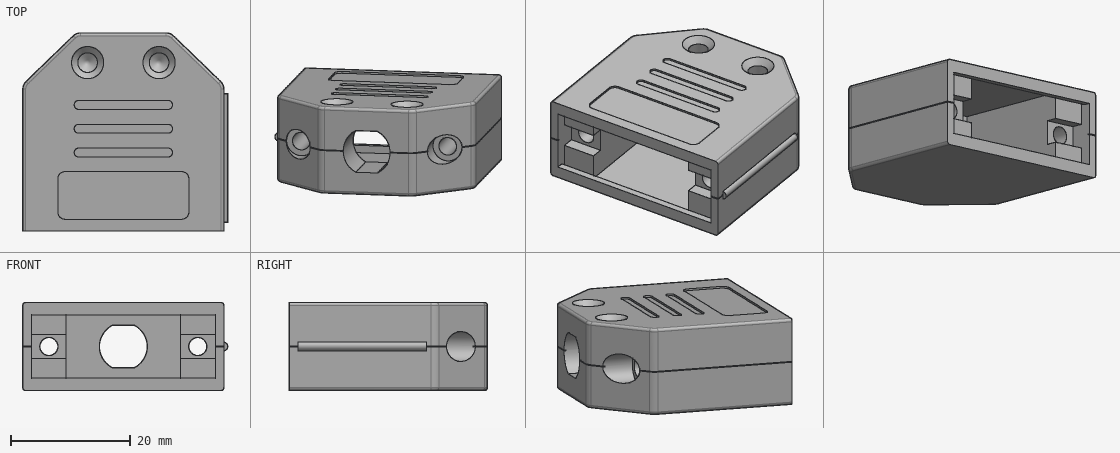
import cadquery as cq
import math


width = 33.8
length = 33.3
height = 14.8
side_wall = 1.45
floor_thickness = 0.85
shoulder_x = 9.0
shoulder_y = 8.7
corner_radius = 1.8
edge_fillet = 0.5

groove_width = 0.1
groove_depth = 0.3

mouth_half_height = 5.3
mouth_depth = 1.2
cavity_depth = 24.0
cavity_width = width - 2 * side_wall
cavity_height = height - 2 * floor_thickness

block_inner_x = 9.6
block_front_y = 2.0
channel_height = 4.1
channel_floor_y = 4.1
fixing_x = 12.5
fixing_diameter = 3.0
head_pocket_diameter = 5.0
head_pocket_floor_y = 26.0

exit_diameter = 8.0
exit_height = 7.1

screw_x = 6.0
screw_y = 28.3
screw_diameter = 3.3
countersink_diameter = 5.4
countersink_angle = 90.0
drill_tip_angle = 118.0
screw_depth = 10.0

recess_depth = 0.3
grip_length = 16.5
grip_width = 1.5
grip_first_y = 13.2
grip_pitch = 4.0
grip_count = 3
label_length = 22.0
label_width = 8.0
label_front_y = 2.0
label_radius = 1.2

bead_radius = 0.74
bead_projection = 0.64
bead_start_y = 1.5
bead_length = 21.6

half_width = width / 2
top_z = height / 2


def box(x_min, x_max, y_min, y_max, z_min, z_max):
    """Box given by its limits along each axis."""
    size = (x_max - x_min, y_max - y_min, z_max - z_min)
    return cq.Workplane("XY", origin=(x_min, y_min, z_min)).box(*size, centered=False)


def cylinder_along_y(x, diameter, y_min, y_max):
    """Cylinder at mid height, parallel to Y."""
    plane = cq.Workplane("XZ", origin=(x, y_min, 0))
    return plane.circle(diameter / 2).extrude(y_min - y_max)


def plan_prism(z_min, z_max):
    """Body outline, with shoulders sloping to the back, between two heights."""
    back_half_width = half_width - shoulder_x
    shoulder_start = length - shoulder_y
    prism = (
        cq.Workplane("XY", origin=(0, 0, z_min))
        .polyline([
            (-half_width, 0),
            (half_width, 0),
            (half_width, shoulder_start),
            (back_half_width, length),
            (-back_half_width, length),
            (-half_width, shoulder_start),
        ])
        .close()
        .extrude(z_max - z_min)
    )
    rear_corners = cq.selectors.BoxSelector(
        (-width, shoulder_start / 2, -height), (width, 2 * length, height)
    )
    return prism.edges("|Z").edges(rear_corners).fillet(corner_radius)


def make_body():
    """Solid body with softened top and bottom edges, left sharp at the open front."""
    body = plan_prism(-top_z, top_z)
    return body.faces("<Z or >Z").edges("not <Y").fillet(edge_fillet)


def make_parting_groove():
    """Thin ring that follows the body outline at mid height."""
    z = groove_width / 2
    outer = plan_prism(-z, z)
    core = outer.faces(">Z").wires().toPending().offset2D(-groove_depth).extrude(-groove_width, combine=False)
    return outer.cut(core)


def make_cavity():
    """Cavity with a lower mouth, less the side blocks, which keep a mid-height channel."""
    half_cavity = cavity_width / 2
    half_height = cavity_height / 2
    half_channel = channel_height / 2
    mouth = box(-half_cavity, half_cavity, 0, mouth_depth, -mouth_half_height, mouth_half_height)
    room = box(-half_cavity, half_cavity, mouth_depth, block_front_y, -half_height, half_height)
    centre = box(-block_inner_x, block_inner_x, block_front_y, cavity_depth, -half_height, half_height)
    channel = box(-half_cavity, half_cavity, block_front_y, channel_floor_y, -half_channel, half_channel)
    return mouth.union(room).union(centre).union(channel)


def make_cable_exit():
    """Round passage through the back wall, flattened above and below."""
    bore = cylinder_along_y(0, exit_diameter, cavity_depth, length)
    half_exit = exit_height / 2
    limits = box(-exit_diameter, exit_diameter, cavity_depth, length, -half_exit, half_exit)
    return bore.intersect(limits)


def make_fixing_hole(x):
    """Through hole in a side block with a screw head pocket opening in the shoulder."""
    bore = cylinder_along_y(x, fixing_diameter, channel_floor_y, length)
    head_pocket = cylinder_along_y(x, head_pocket_diameter, head_pocket_floor_y, length)
    return bore.union(head_pocket)


def make_screw_hole(x):
    """Blind countersunk hole with a drill point, turned about its vertical axis."""
    bore_radius = screw_diameter / 2
    sink_radius = countersink_diameter / 2
    sink_depth = (sink_radius - bore_radius) / math.tan(math.radians(countersink_angle / 2))
    tip_depth = bore_radius / math.tan(math.radians(drill_tip_angle / 2))
    return (
        cq.Workplane("XZ", origin=(x, screw_y, top_z))
        .polyline([
            (0, 0),
            (sink_radius, 0),
            (bore_radius, -sink_depth),
            (bore_radius, -screw_depth),
            (0, -screw_depth - tip_depth),
        ])
        .close()
        .revolve(360, (0, 0, 0), (0, 1, 0))
    )


def make_top_recesses():
    """Label panel and grip slots sunk into the top face."""
    label_y = label_front_y + label_width / 2
    recess_plane = cq.Workplane("XY", origin=(0, 0, top_z - recess_depth))
    label = recess_plane.center(0, label_y).rect(label_length, label_width).extrude(recess_depth)
    recesses = label.edges("|Z").fillet(label_radius)
    for index in range(grip_count):
        y = grip_first_y + index * grip_pitch
        grip = recess_plane.center(0, y).slot2D(grip_length, grip_width).extrude(recess_depth)
        recesses = recesses.union(grip)
    return recesses


def make_bead():
    """Bead whose axis lies just inside the right wall; only the outer part shows."""
    axis_x = half_width + bead_projection - bead_radius
    return cylinder_along_y(axis_x, 2 * bead_radius, bead_start_y, bead_start_y + bead_length)


result = make_body().cut(make_parting_groove()).union(make_bead())
result = result.cut(make_cavity()).cut(make_cable_exit()).cut(make_top_recesses())
for side in (-1, 1):
    result = result.cut(make_fixing_hole(side * fixing_x))
    result = result.cut(make_screw_hole(side * screw_x))